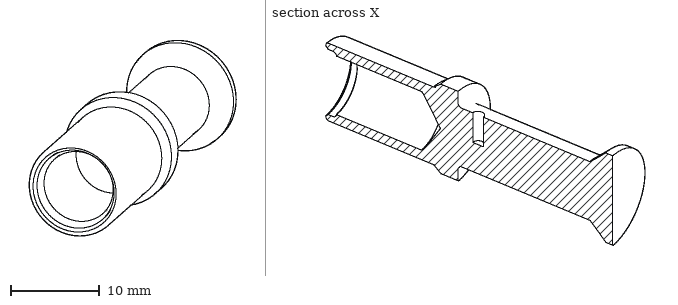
import cadquery as cq
import math

length = 39.45
mouth_y = -length / 2
tail_y = length / 2

diagonal = math.sqrt(0.5)

rim_radius = 6.35
barrel_radius = 5.52
neck_radius = 4.2

barrel_length = 14.85
collar_bevel = 1.0
collar_length = 2.4
neck_fillet = 0.47
flare_rim_length = 1.0
flare_cone = rim_radius - neck_radius
mouth_round = 0.47

mouth_chamfer = 0.35
lead_radius = 4.58
lead_depth = 1.45
socket_radius = 4.1
socket_depth = 13.4
floor_round = 0.25
drill_point_angle = 118.0

inspection_diameter = 1.42
inspection_distance = 20.95


def make_body():
    """Revolve the outer outline about the Y axis."""
    collar_front = mouth_y + barrel_length
    collar_back = collar_front + collar_bevel + collar_length
    flare_front = tail_y - flare_rim_length
    round_mid = (
        barrel_radius - mouth_round * (1 - diagonal),
        mouth_y + mouth_round * (1 - diagonal),
    )
    fillet_mid = (
        neck_radius + neck_fillet * (1 - diagonal),
        collar_back + neck_fillet * (1 - diagonal),
    )
    return (
        cq.Workplane("XY")
        .moveTo(0, mouth_y)
        .lineTo(barrel_radius - mouth_round, mouth_y)
        .threePointArc(round_mid, (barrel_radius, mouth_y + mouth_round))
        .lineTo(barrel_radius, collar_front)
        .lineTo(rim_radius, collar_front + collar_bevel)
        .lineTo(rim_radius, collar_back)
        .lineTo(neck_radius + neck_fillet, collar_back)
        .threePointArc(fillet_mid, (neck_radius, collar_back + neck_fillet))
        .lineTo(neck_radius, flare_front - flare_cone)
        .lineTo(rim_radius, flare_front)
        .lineTo(rim_radius, tail_y)
        .lineTo(0, tail_y)
        .close()
        .revolve(360, (0, 0, 0), (0, 1, 0))
    )


def make_socket():
    """Revolve the socket cavity, ending in a conical drill point."""
    floor_y = mouth_y + socket_depth
    point_radius = socket_radius - floor_round
    point_depth = point_radius / math.tan(math.radians(drill_point_angle / 2))
    step_y = mouth_y + lead_depth
    step_round = lead_radius - socket_radius
    step_mid = (
        socket_radius + step_round * diagonal,
        step_y - step_round * (1 - diagonal),
    )
    return (
        cq.Workplane("XY")
        .moveTo(0, mouth_y)
        .lineTo(lead_radius + mouth_chamfer, mouth_y)
        .lineTo(lead_radius, mouth_y + mouth_chamfer)
        .lineTo(lead_radius, step_y - step_round)
        .threePointArc(step_mid, (socket_radius, step_y))
        .lineTo(socket_radius, floor_y - floor_round)
        .lineTo(point_radius, floor_y)
        .lineTo(0, floor_y + point_depth)
        .close()
        .revolve(360, (0, 0, 0), (0, 1, 0))
    )


def make_inspection_hole():
    """Drill from the top of the neck down to the axis."""
    return (
        cq.Workplane("XY")
        .center(0, mouth_y + inspection_distance)
        .circle(inspection_diameter / 2)
        .extrude(rim_radius)
    )


result = make_body().cut(make_socket()).cut(make_inspection_hole())